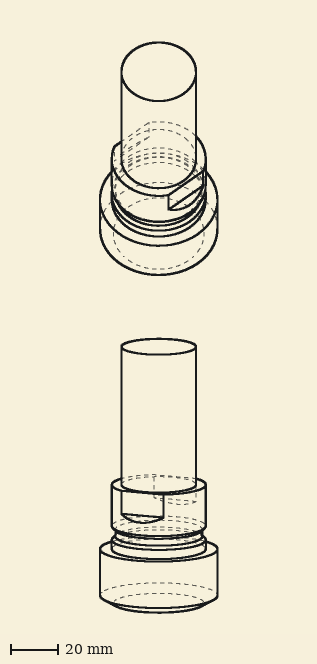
import cadquery as cq
import math

flange_radius = 25.0
flange_height = 23.5
flange_chamfer_height = 3.3
flange_chamfer_angle = 30.0
flange_chamfer_width = flange_chamfer_height / math.tan(math.radians(flange_chamfer_angle))

collar_radius = 20.0
collar_height = 28.0
collar_top = flange_height + collar_height
groove_radius = 18.5
groove_side_height = collar_radius - groove_radius
groove_floor_height = 3.0
lower_land_height = 4.0
groove_bottom = flange_height + lower_land_height
groove_floor_bottom = groove_bottom + groove_side_height
groove_floor_top = groove_floor_bottom + groove_floor_height
groove_top = groove_floor_top + groove_side_height

shank_radius = 15.875
shank_length = 60.0
part_height = collar_top + shank_length

across_flats = 34.925
flat_distance = across_flats / 2
flat_height = 10.0
flat_bottom = collar_top - flat_height
flat_depth = collar_radius - flat_distance


def turned_body():
    """Revolve the half profile of flange, grooved collar and shank about Z."""
    return (
        cq.Workplane("XZ")
        .moveTo(0, 0)
        .lineTo(flange_radius - flange_chamfer_width, 0)
        .lineTo(flange_radius, flange_chamfer_height)
        .lineTo(flange_radius, flange_height)
        .lineTo(collar_radius, flange_height)
        .lineTo(collar_radius, groove_bottom)
        .lineTo(groove_radius, groove_floor_bottom)
        .lineTo(groove_radius, groove_floor_top)
        .lineTo(collar_radius, groove_top)
        .lineTo(collar_radius, collar_top)
        .lineTo(shank_radius, collar_top)
        .lineTo(shank_radius, part_height)
        .lineTo(0, part_height)
        .close()
        .revolve(360, (0, 0, 0), (0, 1, 0))
    )


def wrench_flat_cutter(side):
    """Prism along Y that cuts one flat; side is +1 or -1 along X."""
    return (
        cq.Workplane("XZ")
        .moveTo(side * flat_distance, collar_top)
        .lineTo(side * flat_distance, flat_bottom)
        .lineTo(side * collar_radius, flat_bottom - flat_depth)
        .lineTo(side * collar_radius, collar_top)
        .close()
        .extrude(collar_radius, both=True)
    )


result = turned_body()
for side in (-1, 1):
    result = result.cut(wrench_flat_cutter(side))